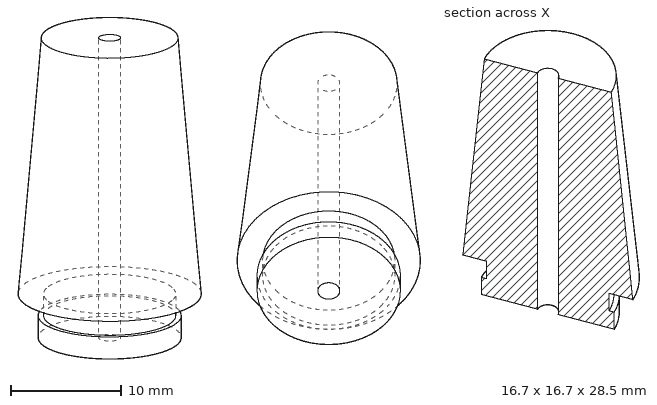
import cadquery as cq

total_height = 28.5
bore_diameter = 2.0

flange_diameter = 13.0
flange_height = 2.1
neck_diameter = 12.0
neck_height = 2.05

body_base_diameter = 16.65
body_top_diameter = 12.43
body_base_z = flange_height + neck_height
body_height = total_height - body_base_z


def make_flange_and_neck():
    """Bottom flange with the narrower neck standing on it."""
    flange = cq.Workplane("XY").circle(flange_diameter / 2).extrude(flange_height)
    return flange.faces(">Z").workplane().circle(neck_diameter / 2).extrude(neck_height)


def make_body():
    """Cone narrowing from the neck up to the flat top."""
    base = cq.Workplane("XY").workplane(offset=body_base_z).circle(body_base_diameter / 2)
    return base.workplane(offset=body_height).circle(body_top_diameter / 2).loft(ruled=True)


def make_bore():
    """Axial hole through the full height."""
    return cq.Workplane("XY").circle(bore_diameter / 2).extrude(total_height)


result = make_flange_and_neck().union(make_body()).cut(make_bore())